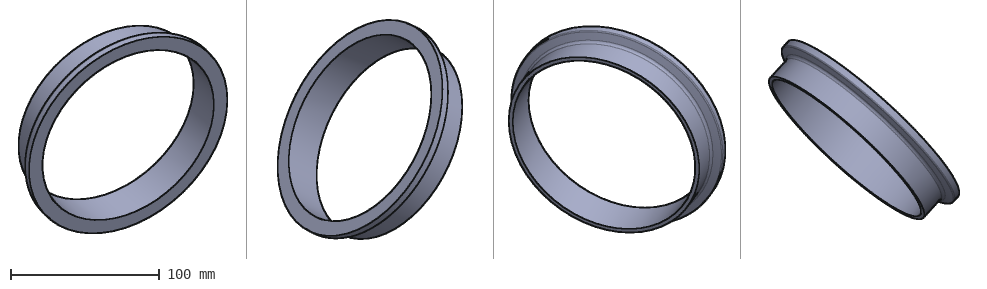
import cadquery as cq
import math

length = 27.0
bore_diameter = 133.8
tube_diameter = 139.8
flange_diameter = 155
rim_width = 5.6
taper_angle = 20
root_fillet = 2.3
edge_fillet = 1.0

bore_radius = bore_diameter / 2
tube_radius = tube_diameter / 2
flange_radius = flange_diameter / 2
taper_start = length - rim_width
taper_run = (flange_radius - tube_radius) * math.tan(math.radians(taper_angle))
root_x = taper_start - taper_run


def round_edge(body, x, radius, fillet):
    """Fillet the circular edge at the given axial position and radius."""
    margin = 0.02
    reach = radius + margin
    selector = cq.selectors.BoxSelector(
        (x - margin, -reach, -reach),
        (x + margin, reach, reach),
        boundingbox=True,
    )
    return body.edges(selector).fillet(fillet)


ring = (
    cq.Workplane("XY")
    .moveTo(0, bore_radius)
    .lineTo(0, tube_radius)
    .lineTo(root_x, tube_radius)
    .lineTo(taper_start, flange_radius)
    .lineTo(length, flange_radius)
    .lineTo(length, bore_radius)
    .close()
    .revolve(360, (0, 0, 0), (1, 0, 0))
)
ring = round_edge(ring, root_x, tube_radius, root_fillet)
result = round_edge(ring, taper_start, flange_radius, edge_fillet)